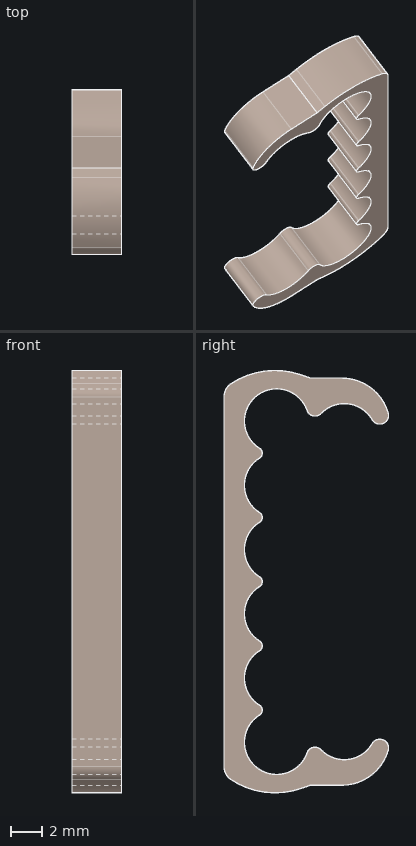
import cadquery as cq
import math

width = 3.17
depth = 10.47
height = 26.85
back_y = -depth / 2
front_y = depth / 2
top_z = height / 2

scallop_count = 6
scallop_pitch = 4.08
scallop_radius = 2.05
wall = 1.32
cusp_radius = 0.362
scallop_y = back_y + wall + scallop_radius
end_scallop = (scallop_y, scallop_pitch * (scallop_count - 1) / 2)

hook_scallop = (2.42, 9.25)
hook_cusp_radius = 0.55
tip_radius = 0.56
hook_top_z = 12.95
hook_arc_y = 2.25

dome_y = -2.0
corner_radius = 1.02
corner_z = 11.73
ramp_angle = math.radians(19)


def toward(start, end, distance):
    """Point at a distance from start along the line to end."""
    ratio = distance / math.dist(start, end)
    return (start[0] + (end[0] - start[0]) * ratio, start[1] + (end[1] - start[1]) * ratio)


def polar(center, radius, angle):
    return (center[0] + radius * math.cos(angle), center[1] + radius * math.sin(angle))


def cusp_center(first, second, radius):
    """Centre of the round touching two scallops, on the left of first to second."""
    span = math.dist(first, second)
    rise = math.sqrt((scallop_radius + radius) ** 2 - (span / 2) ** 2)
    along_y = (second[0] - first[0]) / span
    along_z = (second[1] - first[1]) / span
    middle = ((first[0] + second[0]) / 2, (first[1] + second[1]) / 2)
    return (middle[0] - along_z * rise, middle[1] + along_y * rise)


def tangent_radius(arc_y, arc_top, inner_center, inner_radius):
    """Radius of an arc peaking at (arc_y, arc_top) that encloses a circle tangentially."""
    offset = inner_center[0] - arc_y
    drop = arc_top - inner_center[1]
    return (offset**2 + drop**2 - inner_radius**2) / (2 * (drop - inner_radius))


def mirrored(point):
    return (point[0], -point[1])


tip_y = front_y - tip_radius
tip_reach = scallop_radius + tip_radius
tip_center = (tip_y, hook_scallop[1] + math.sqrt(tip_reach**2 - (tip_y - hook_scallop[0]) ** 2))
hook_radius = tangent_radius(hook_arc_y, hook_top_z, tip_center, tip_radius)
hook_center = (hook_arc_y, hook_top_z - hook_radius)
corner_center = (back_y + corner_radius, corner_z)
dome_radius = tangent_radius(dome_y, top_z, corner_center, corner_radius)
dome_center = (dome_y, top_z - dome_radius)

dome_end = toward(dome_center, corner_center, dome_radius)
ramp_top = polar(dome_center, dome_radius, math.pi / 2 - ramp_angle)
ramp_foot = (ramp_top[0] + (ramp_top[1] - hook_top_z) / math.tan(ramp_angle), hook_top_z)
tip_outer = toward(hook_center, tip_center, hook_radius)
tip_inner = toward(tip_center, hook_scallop, tip_radius)
tip_angle = math.atan2(tip_center[1] - hook_center[1], tip_center[0] - hook_center[0])
hook_middle = polar(hook_center, hook_radius, (tip_angle + math.pi / 2) / 2)
corner_angle = math.atan2(corner_center[1] - dome_center[1], corner_center[0] - dome_center[0])
corner_middle = polar(corner_center, corner_radius, (corner_angle + math.pi) / 2)
tip_inner_angle = math.atan2(tip_inner[1] - tip_center[1], tip_inner[0] - tip_center[0])
tip_middle = polar(tip_center, tip_radius, (tip_angle + tip_inner_angle) / 2)

hook_cusp = cusp_center(end_scallop, hook_scallop, hook_cusp_radius)
hook_cusp_outer = toward(hook_cusp, hook_scallop, hook_cusp_radius)
hook_cusp_inner = toward(hook_cusp, end_scallop, hook_cusp_radius)
hook_cusp_middle = (hook_cusp[0], hook_cusp[1] - hook_cusp_radius)
hook_scallop_top = (hook_scallop[0], hook_scallop[1] + scallop_radius)

hook_inner_arcs = [
    (tip_middle, tip_inner),
    (hook_scallop_top, hook_cusp_outer),
    (hook_cusp_middle, hook_cusp_inner),
]

profile = (
    cq.Workplane("YZ", origin=(-width / 2, 0, 0))
    .moveTo(back_y, -corner_z)
    .lineTo(back_y, corner_z)
    .threePointArc(corner_middle, dome_end)
    .threePointArc((dome_y, top_z), ramp_top)
    .lineTo(*ramp_foot)
    .lineTo(hook_arc_y, hook_top_z)
    .threePointArc(hook_middle, tip_outer)
)
for middle, end in hook_inner_arcs:
    profile = profile.threePointArc(middle, end)

scallop_angle = math.acos(scallop_pitch / 2 / (scallop_radius + cusp_radius))
scallop_deepest_y = scallop_y - scallop_radius
for index in range(scallop_count):
    center = (scallop_y, end_scallop[1] - index * scallop_pitch)
    if index == scallop_count - 1:
        scallop_end = mirrored(hook_cusp_inner)
    else:
        scallop_end = polar(center, scallop_radius, -math.pi / 2 - scallop_angle)
    profile = profile.threePointArc((scallop_deepest_y, center[1]), scallop_end)
    if index < scallop_count - 1:
        next_center = (scallop_y, center[1] - scallop_pitch)
        cusp = cusp_center(next_center, center, cusp_radius)
        cusp_end = toward(cusp, next_center, cusp_radius)
        profile = profile.threePointArc((cusp[0] + cusp_radius, cusp[1]), cusp_end)

profile = (
    profile
    .threePointArc(mirrored(hook_cusp_middle), mirrored(hook_cusp_outer))
    .threePointArc(mirrored(hook_scallop_top), mirrored(tip_inner))
    .threePointArc(mirrored(tip_middle), mirrored(tip_outer))
    .threePointArc(mirrored(hook_middle), (hook_arc_y, -hook_top_z))
    .lineTo(*mirrored(ramp_foot))
    .lineTo(*mirrored(ramp_top))
    .threePointArc((dome_y, -top_z), mirrored(dome_end))
    .threePointArc(mirrored(corner_middle), (back_y, -corner_z))
    .close()
)

result = profile.extrude(width)